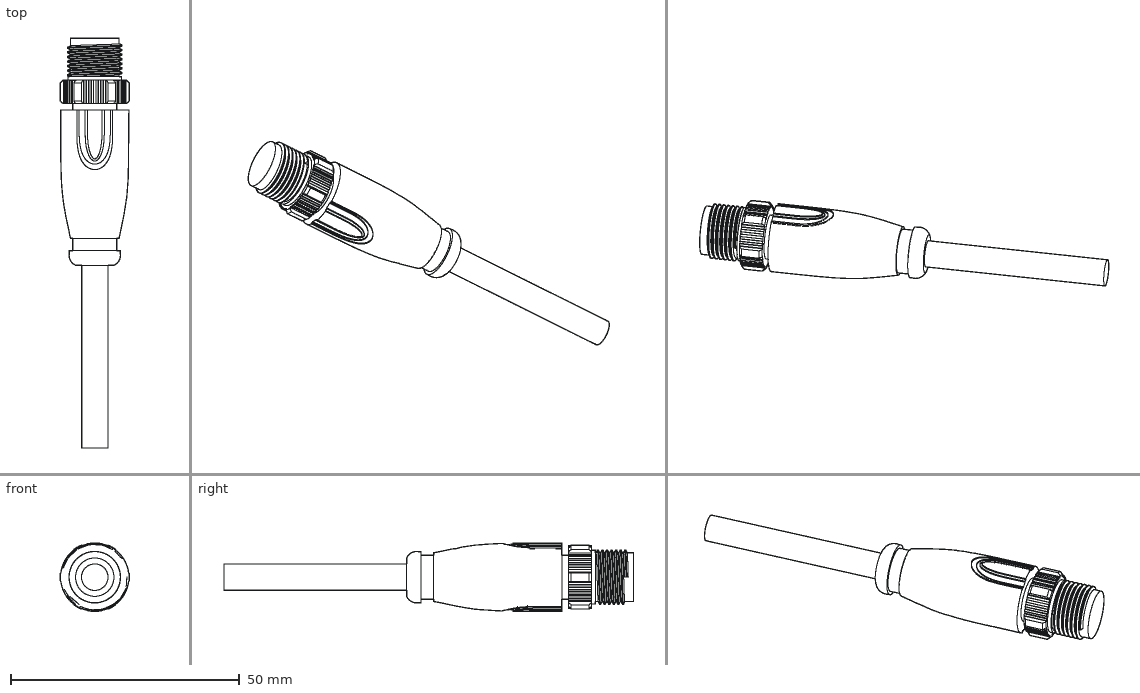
import cadquery as cq
import math

TOTAL_LENGTH = 89.7

THREAD_RADIUS = 6.0
THREAD_ROOT_RADIUS = 5.35
THREAD_PITCH = 1.0
THREAD_TURNS = 6.5
THREAD_START = 1.6
THREAD_ROOT_WIDTH = 0.9
THREAD_CREST_WIDTH = 0.2
THREAD_EMBED = 0.1
SHOULDER_RADIUS = 5.9
SHOULDER_START = 8.4

NUT_START = 9.2
NUT_END = 14.3
NUT_BASE_RADIUS = 6.6
NUT_RIB_RADIUS = 6.9
NUT_PAD_RADIUS = 7.6
NUT_PAD_COUNT = 6
NUT_PAD_WIDTH = 1.9
NUT_PAD_CHAMFER = 0.6
RIBS_PER_GAP = 5
RIB_SPACING_ANGLE = 9.0
RIB_WIDTH = 0.55

GRIP_START = 15.7
GRIP_CURVE_CONTROL = 33.7
GRIP_END = 43.8
GRIP_RADIUS = 7.5
GRIP_END_RADIUS = 5.35
NECK_RADIUS = 4.85
FLANGE_START = 46.5
FLANGE_END = 49.7
FLANGE_RADIUS = 5.6
FLANGE_FACE_RADIUS = 4.2
FLANGE_RIM = 0.5
CABLE_RADIUS = 2.9

RECESS_HALF_WIDTH = 3.9
RECESS_LENGTH = 13.05
PANEL_HALF_WIDTH = 1.6
PANEL_LENGTH = 10.7
STEP_WIDTH = 0.5
TIP_SHELF_LENGTH = 1.2
STEP_DEPTH = 0.25
FLOOR_DEPTH = 2 * STEP_DEPTH
ARCH_STRAIGHT_SHARE = 0.45


def along(depth):
    """Y position of a depth below the threaded end."""
    return -depth


def cylinder(radius, start, end):
    """Cylinder on the connector axis between two depths."""
    plane = cq.Workplane("XZ", origin=(0, along(start), 0))
    return plane.circle(radius).extrude(end - start)


def grip_solid(inset=0.0):
    """Round grip: nearly straight at the front, curving in to the tail, shrunk by an inset."""
    front = (GRIP_RADIUS - inset, along(GRIP_START))
    control = (GRIP_RADIUS - inset, along(GRIP_CURVE_CONTROL))
    tail = (GRIP_END_RADIUS - inset, along(GRIP_END))
    return (
        cq.Workplane("XY")
        .moveTo(0, along(GRIP_START))
        .lineTo(*front)
        .bezier([front, control, control, tail])
        .lineTo(0, along(GRIP_END))
        .close()
        .revolve(360, (0, 0, 0), (0, 1, 0))
    )


def flange():
    """Tail flange with a rounded rear edge."""
    round_start = FLANGE_START + FLANGE_RIM
    round_radius = FLANGE_RADIUS - FLANGE_FACE_RADIUS
    round_length = FLANGE_END - round_start
    diagonal = math.sqrt(0.5)
    return (
        cq.Workplane("XY")
        .moveTo(0, along(FLANGE_START))
        .lineTo(FLANGE_RADIUS, along(FLANGE_START))
        .lineTo(FLANGE_RADIUS, along(round_start))
        .threePointArc(
            (FLANGE_FACE_RADIUS + round_radius * diagonal, along(round_start + round_length * diagonal)),
            (FLANGE_FACE_RADIUS, along(FLANGE_END)),
        )
        .lineTo(0, along(FLANGE_END))
        .close()
        .revolve(360, (0, 0, 0), (0, 1, 0))
    )


def thread():
    """Right-handed helical ridge, slightly sunk into the threaded core."""
    height = THREAD_PITCH * THREAD_TURNS
    foot = THREAD_ROOT_RADIUS - THREAD_EMBED
    path = cq.Wire.makeHelix(THREAD_PITCH, height, foot)
    ridge = (
        cq.Workplane("XZ")
        .moveTo(foot, -THREAD_ROOT_WIDTH / 2)
        .lineTo(THREAD_RADIUS, -THREAD_CREST_WIDTH / 2)
        .lineTo(THREAD_RADIUS, THREAD_CREST_WIDTH / 2)
        .lineTo(foot, THREAD_ROOT_WIDTH / 2)
        .close()
        .sweep(cq.Workplane(obj=path), isFrenet=True)
    )
    return ridge.rotate((0, 0, 0), (1, 0, 0), 90).translate((0, along(THREAD_START), 0))


def nut_bar(radius, width, angle):
    """Bar along the nut, reaching past a radius at an angle from +X."""
    length = NUT_END - NUT_START
    bar = cq.Workplane("XY").box(radius + width, width, length, centered=(False, True, False))
    bar = bar.rotate((0, 0, 0), (1, 0, 0), 90).translate((0, along(NUT_START), 0))
    return bar.rotate((0, 0, 0), (0, 1, 0), -angle)


def coupling_nut():
    """Nut with evenly spaced chamfered grip pads and a group of ribs between each pair."""
    nut = cylinder(NUT_BASE_RADIUS, NUT_START, NUT_END)
    ribs = cylinder(NUT_RIB_RADIUS, NUT_START, NUT_END)
    pads = cylinder(NUT_PAD_RADIUS, NUT_START, NUT_END).edges().chamfer(NUT_PAD_CHAMFER)
    pad_spacing = 360 / NUT_PAD_COUNT
    for pad in range(NUT_PAD_COUNT):
        pad_angle = pad * pad_spacing
        nut = nut.union(pads.intersect(nut_bar(NUT_PAD_RADIUS, NUT_PAD_WIDTH, pad_angle)))
        for rib in range(RIBS_PER_GAP):
            offset = (rib - (RIBS_PER_GAP - 1) / 2) * RIB_SPACING_ANGLE
            rib_angle = pad_angle + pad_spacing / 2 + offset
            nut = nut.union(ribs.intersect(nut_bar(NUT_PAD_RADIUS, RIB_WIDTH, rib_angle)))
    return nut


def arch(half_width, length):
    """Upright prism, open to the grip front, with a rounded arch at its far end."""
    front = along(GRIP_START)
    spring = front - length * ARCH_STRAIGHT_SHARE
    tip = front - length
    return (
        cq.Workplane("XY")
        .moveTo(-half_width, front)
        .lineTo(half_width, front)
        .lineTo(half_width, spring)
        .spline([(0, tip), (-half_width, spring)], tangents=[(0, -1), (-1, 0), (0, 1)], includeCurrent=True)
        .close()
        .extrude(GRIP_RADIUS)
    )


def recess_cutter():
    """U-shaped recess around the raised panel, stepped at both of its borders."""
    band = arch(RECESS_HALF_WIDTH, RECESS_LENGTH)
    band = band.cut(arch(PANEL_HALF_WIDTH, PANEL_LENGTH))
    channel = arch(RECESS_HALF_WIDTH - STEP_WIDTH, RECESS_LENGTH - TIP_SHELF_LENGTH)
    channel = channel.cut(arch(PANEL_HALF_WIDTH + STEP_WIDTH, PANEL_LENGTH + STEP_WIDTH))
    step = band.cut(grip_solid(STEP_DEPTH))
    return step.union(channel.cut(grip_solid(FLOOR_DEPTH)))


def grip():
    """Grip with the label recess on its top and on its underside."""
    cutter = recess_cutter()
    return grip_solid().cut(cutter).cut(cutter.mirror("XY"))


result = (
    cylinder(THREAD_ROOT_RADIUS, 0, NUT_START)
    .union(thread())
    .union(cylinder(SHOULDER_RADIUS, SHOULDER_START, NUT_START))
    .union(coupling_nut())
    .union(cylinder(NECK_RADIUS, NUT_START, FLANGE_START))
    .union(grip())
    .union(flange())
    .union(cylinder(CABLE_RADIUS, FLANGE_START, TOTAL_LENGTH))
)